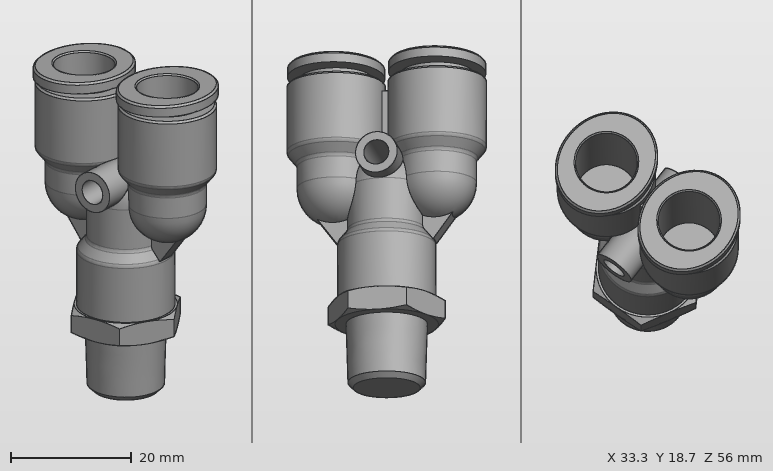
import cadquery as cq
import math

total_height = 56.0
branch_offset = 8.5

sleeve_radius = 8.15
tube_radius = 6.5
shoulder_height = 2.0
shoulder_round = 1.0

thread_top = 11.0
thread_top_radius = 6.75
thread_taper = 1 / 32
thread_chamfer = 0.9

hex_flats = 17.1
hex_height = 4.0
hex_top = thread_top + hex_height
hex_chamfer_angle = 20.0

stem_shoulder_bottom = 25.0
stem_shoulder_top = stem_shoulder_bottom + shoulder_height
stem_dome_center = 34.4

branch_dome_center = 35.0
branch_shoulder_bottom = 39.0
branch_shoulder_top = branch_shoulder_bottom + shoulder_height
branch_top = 52.9
branch_edge_chamfer = 0.35
bore_radius = 5.1
bore_floor = branch_shoulder_bottom
bore_mouth_chamfer = 0.25

collar_neck_radius = 5.9
collar_bottom = 54.1
collar_length_x = 16.0
collar_length_y = 18.5
collar_chamfer = 0.35

lug_center_z = 38.0
lug_radius = 3.5
lug_hole_radius = 2.1
lug_length = 18.7

web_thickness = 3.0
web_top = 51.0
web_half_width = 1.5
web_outer_x = 12.0
web_outer_z = 30.2


def revolve_profile(profile):
    """Turn a closed XZ half-profile about the Z axis."""
    return profile.close().revolve(360, (0, 0, 0), (0, 1, 0))


def round_shoulder(body, shoulder_bottom):
    """Round the edges of the conical shoulder that starts at the given height."""
    middle = shoulder_bottom + shoulder_height / 2
    edges = [
        edge for edge in body.edges("%CIRCLE").vals()
        if abs(edge.Center().z - middle) < shoulder_height
    ]
    return body.newObject(edges).fillet(shoulder_round)


def make_thread_end():
    tip_radius = thread_top_radius - thread_taper * (thread_top - thread_chamfer)
    profile = (
        cq.Workplane("XZ")
        .lineTo(tip_radius - thread_chamfer, 0)
        .lineTo(tip_radius, thread_chamfer)
        .lineTo(thread_top_radius, thread_top)
        .lineTo(0, thread_top)
    )
    return revolve_profile(profile)


def make_hexagon():
    corner_radius = hex_flats / 2 / math.cos(math.pi / 6)
    face_radius = hex_flats / 2
    corner_drop = (corner_radius - face_radius) * math.tan(math.radians(hex_chamfer_angle))
    prism = (
        cq.Workplane("XY", origin=(0, 0, thread_top))
        .polygon(6, 2 * corner_radius)
        .extrude(hex_height)
    )
    envelope = (
        cq.Workplane("XZ", origin=(0, 0, thread_top))
        .lineTo(face_radius, 0)
        .lineTo(corner_radius, corner_drop)
        .lineTo(corner_radius, hex_height - corner_drop)
        .lineTo(face_radius, hex_height)
        .lineTo(0, hex_height)
    )
    return prism.intersect(revolve_profile(envelope))


def make_stem():
    diagonal = tube_radius * math.sqrt(0.5)
    profile = (
        cq.Workplane("XZ")
        .moveTo(0, hex_top)
        .lineTo(sleeve_radius, hex_top)
        .lineTo(sleeve_radius, stem_shoulder_bottom)
        .lineTo(tube_radius, stem_shoulder_top)
        .lineTo(tube_radius, stem_dome_center)
        .threePointArc((diagonal, stem_dome_center + diagonal), (0, stem_dome_center + tube_radius))
    )
    return round_shoulder(revolve_profile(profile), stem_shoulder_bottom)


def make_branch():
    """One branch with its domed lower end, standing on the Z axis."""
    diagonal = tube_radius * math.sqrt(0.5)
    profile = (
        cq.Workplane("XZ")
        .moveTo(0, branch_dome_center - tube_radius)
        .threePointArc((diagonal, branch_dome_center - diagonal), (tube_radius, branch_dome_center))
        .lineTo(tube_radius, branch_shoulder_bottom)
        .lineTo(sleeve_radius, branch_shoulder_top)
        .lineTo(sleeve_radius, branch_top)
        .lineTo(0, branch_top)
    )
    body = round_shoulder(revolve_profile(profile), branch_shoulder_bottom)
    return body.faces(">Z").edges().chamfer(branch_edge_chamfer)


def make_collar():
    """Oval release collar on its round neck, standing on the Z axis."""
    neck = (
        cq.Workplane("XY", origin=(0, 0, branch_top))
        .circle(collar_neck_radius)
        .extrude(collar_bottom - branch_top)
    )
    flange = (
        cq.Workplane("XY", origin=(0, 0, collar_bottom))
        .ellipse(collar_length_x / 2, collar_length_y / 2)
        .extrude(total_height - collar_bottom)
        .faces(">Z").edges().chamfer(collar_chamfer)
    )
    return neck.union(flange)


def make_bore():
    """Cutter for one blind tube bore with a bevelled mouth, on the Z axis."""
    mouth_radius = bore_radius + bore_mouth_chamfer
    profile = (
        cq.Workplane("XZ")
        .moveTo(0, bore_floor)
        .lineTo(bore_radius, bore_floor)
        .lineTo(bore_radius, total_height - bore_mouth_chamfer)
        .lineTo(mouth_radius, total_height)
        .lineTo(0, total_height)
    )
    return revolve_profile(profile)


def make_web():
    """Flat web: a strip between the sleeves and gussets under the domes."""
    right_side = [
        (sleeve_radius, stem_shoulder_bottom),
        (web_outer_x, web_outer_z),
        (branch_offset, branch_dome_center),
        (web_half_width, branch_dome_center),
        (web_half_width, web_top),
    ]
    left_side = [(-x, z) for x, z in reversed(right_side)]
    return (
        cq.Workplane("XZ")
        .polyline(right_side + left_side)
        .close()
        .extrude(web_thickness / 2, both=True)
    )


def make_lug_cylinder(radius):
    return (
        cq.Workplane("XZ", origin=(0, 0, lug_center_z))
        .circle(radius)
        .extrude(lug_length / 2, both=True)
    )


result = make_thread_end().union(make_hexagon()).union(make_stem()).union(make_web())
for side in (-1, 1):
    branch = make_branch().union(make_collar())
    result = result.union(branch.translate((side * branch_offset, 0, 0)))
result = result.union(make_lug_cylinder(lug_radius))

for side in (-1, 1):
    result = result.cut(make_bore().translate((side * branch_offset, 0, 0)))
result = result.cut(make_lug_cylinder(lug_hole_radius))